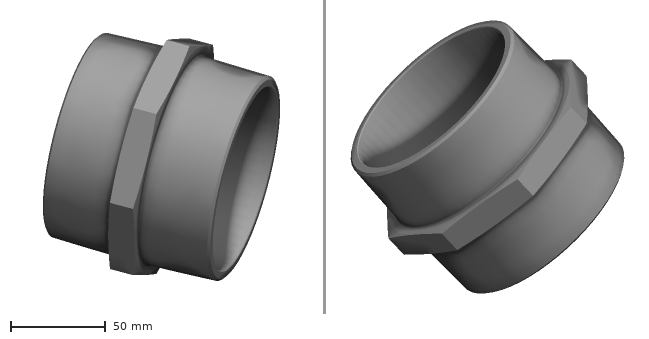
import cadquery as cq
import math

length = 94.0
across_flats = 125.0
collar_width = 15.0
bore_diameter = 100.4
barrel_diameter = 114.1

barrel_land_end = 11.0
taper_per_side = 1 / 32
end_chamfer_length = 1.3
end_chamfer_depth = 1.5
root_fillet = 1.0
bore_chamfer = 0.5

collar_sides = 8
collar_chamfer_diameter = 124.5
collar_chamfer_angle = 11.0

half_length = length / 2
half_collar = collar_width / 2
bore_radius = bore_diameter / 2
barrel_radius = barrel_diameter / 2
corner_radius = across_flats / 2 / math.cos(math.pi / collar_sides)


def make_collar():
    """Octagonal collar with its corners turned off conically on both faces."""
    octagon = (
        cq.Workplane("YZ", origin=(-half_collar, 0, 0))
        .polygon(collar_sides, 2 * corner_radius)
        .extrude(collar_width)
        .rotate((0, 0, 0), (1, 0, 0), 180 / collar_sides)
    )
    face_radius = collar_chamfer_diameter / 2
    corner_drop = (corner_radius - face_radius) * math.tan(math.radians(collar_chamfer_angle))
    corner_x = half_collar - corner_drop
    turned_blank = (
        cq.Workplane("XZ")
        .moveTo(-half_collar, 0)
        .lineTo(-half_collar, face_radius)
        .lineTo(-corner_x, corner_radius)
        .lineTo(corner_x, corner_radius)
        .lineTo(half_collar, face_radius)
        .lineTo(half_collar, 0)
        .close()
        .revolve(360, (0, 0, 0), (1, 0, 0))
    )
    return octagon.intersect(turned_blank)


def make_barrel_half():
    """Solid of revolution from mid-length to the +X end, including the root fillet."""
    taper_end = half_length - end_chamfer_length
    taper_end_radius = barrel_radius - (taper_end - barrel_land_end) * taper_per_side
    return (
        cq.Workplane("XZ")
        .lineTo(0, barrel_radius + root_fillet)
        .lineTo(half_collar, barrel_radius + root_fillet)
        .radiusArc((half_collar + root_fillet, barrel_radius), -root_fillet)
        .lineTo(barrel_land_end, barrel_radius)
        .lineTo(taper_end, taper_end_radius)
        .lineTo(half_length, taper_end_radius - end_chamfer_depth)
        .lineTo(half_length, 0)
        .close()
        .revolve(360, (0, 0, 0), (1, 0, 0))
    )


def make_bore():
    """Through bore, widened by a small chamfer at each mouth."""
    mouth_radius = bore_radius + bore_chamfer
    return (
        cq.Workplane("XZ")
        .moveTo(-half_length, 0)
        .lineTo(-half_length, mouth_radius)
        .lineTo(-half_length + bore_chamfer, bore_radius)
        .lineTo(half_length - bore_chamfer, bore_radius)
        .lineTo(half_length, mouth_radius)
        .lineTo(half_length, 0)
        .close()
        .revolve(360, (0, 0, 0), (1, 0, 0))
    )


barrel_half = make_barrel_half()
result = (
    make_collar()
    .union(barrel_half)
    .union(barrel_half.mirror("YZ"))
    .cut(make_bore())
)